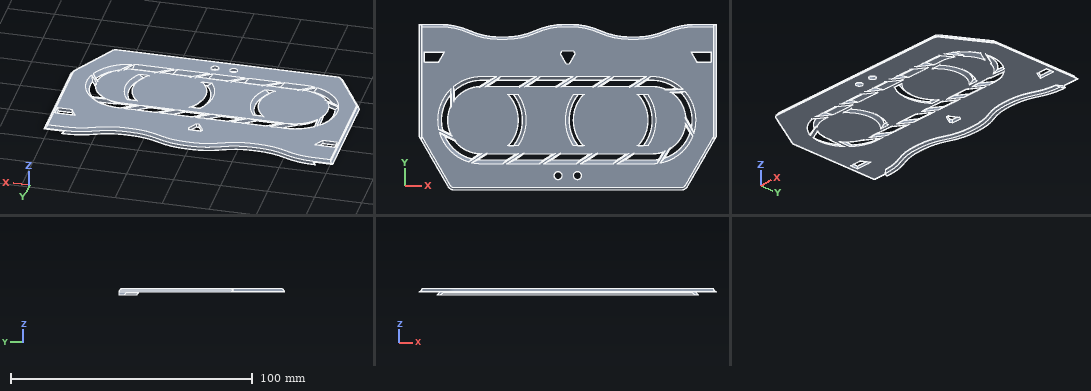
import cadquery as cq
import math

plate_width = 122.79
plate_length = 68.54
plate_thickness = 1.6
lip_height = 1.2
half_width = plate_width / 2
back_y = plate_length / 2
front_y = -plate_length / 2

corner_angle = math.radians(60)
corner_rise = 22.1
corner_run = corner_rise / math.tan(corner_angle)
corner_radius = 3.0

edge_chamfer = 1.2
chamfer_height = 1.0
rail_foot = 0.2
rail_height = 0.9
rail_inset = 1.0

wave_half_span = 54.0
wave_depth = 5.2
wave_flat = 2.6
trough_x = wave_half_span / 2

lip_depth = 3.0
lip_chamfer = 0.95
lip_end_flare = math.degrees(math.atan(0.7))

window_outer_x = 59.5
window_inner_x = 51.0
window_back_y = 22.9
window_front_y = 18.7
window_draft = 0.35
keyhole_points = [(2.4, 23.2), (3.0, 22.1), (0.6, 17.9)]

hole_diameter = 3.2
hole_spacing = 8.0
hole_y = front_y + 6.0

wall_slope = 45
wall_lean = plate_thickness * math.tan(math.radians(wall_slope))
ring_x = -0.4
ring_y = -5.35
ring_straight = 70.6
ring_inner_radius = 14.0
ring_outer_radius = 18.05
bar_count = 15
bar_pitch = 15.2
bar_start = 17.3
bar_angle = 33
bar_inward = 5.0
bar_outward = 8.0
bar_top_width = 0.9
bar_bottom_width = 1.8

slot_inner_radius = 15.5
slot_outer_radius = 18.7
slot_half_height = 10.55
curved_slots = [(-35.9, 1), (17.75, -1), (17.75, 1)]

overcut = 1.0


def draw_wave(sketch, crest_y):
    """Continue a line from the right end of the wave to its left end, as flats and tangent arcs."""
    half_flat = wave_flat / 2
    arc_run = trough_x / 2 - half_flat
    arc_drop = wave_depth / 2
    radius = (arc_run**2 + arc_drop**2) / (2 * arc_drop)
    half_angle = math.asin(arc_run / radius) / 2
    mid_run = half_flat + radius * math.sin(half_angle)
    mid_drop = radius * (1 - math.cos(half_angle))
    trough_y = crest_y - wave_depth
    slope_y = crest_y - arc_drop
    for crest_x in (wave_half_span, 0):
        low_x = crest_x - trough_x
        next_x = low_x - trough_x
        slope_x = (crest_x + low_x) / 2
        next_slope_x = (low_x + next_x) / 2
        sketch = (
            sketch.lineTo(crest_x - half_flat, crest_y)
            .threePointArc((crest_x - mid_run, crest_y - mid_drop), (slope_x, slope_y))
            .threePointArc((low_x + mid_run, trough_y + mid_drop), (low_x + half_flat, trough_y))
            .lineTo(low_x - half_flat, trough_y)
            .threePointArc((low_x - mid_run, trough_y + mid_drop), (next_slope_x, slope_y))
            .threePointArc((next_x + mid_run, crest_y - mid_drop), (next_x + half_flat, crest_y))
            .lineTo(next_x, crest_y)
        )
    return sketch


def make_plate():
    outline = (
        cq.Workplane("XY")
        .moveTo(-half_width + corner_run, front_y)
        .lineTo(half_width - corner_run, front_y)
        .lineTo(half_width, front_y + corner_rise)
        .lineTo(half_width, back_y)
        .lineTo(wave_half_span, back_y)
    )
    outline = draw_wave(outline, back_y)
    outline = outline.lineTo(-half_width, back_y).lineTo(-half_width, front_y + corner_rise)
    plate = outline.close().extrude(plate_thickness)
    front_corners = cq.selectors.BoxSelector(
        (-half_width, front_y - overcut, 0), (half_width, front_y + overcut, plate_thickness)
    )
    plate = plate.edges("|Z").edges(front_corners).fillet(corner_radius)
    sides = cq.selectors.ParallelDirSelector(cq.Vector(0, 1, 0))
    plate = plate.faces(">Z").edges(-sides).chamfer(chamfer_height, edge_chamfer)
    return plate.intersect(make_side_profile())


def make_side_profile():
    """Long prism whose sides have a short foot, slope inward, then rise almost upright."""
    rail_half_width = half_width - rail_inset
    top_half_width = half_width - edge_chamfer
    return (
        cq.Workplane("XZ")
        .polyline(
            [
                (-half_width, 0),
                (half_width, 0),
                (half_width, rail_foot),
                (rail_half_width, rail_height),
                (top_half_width, plate_thickness),
                (-top_half_width, plate_thickness),
                (-rail_half_width, rail_height),
                (-half_width, rail_foot),
            ]
        )
        .close()
        .extrude(plate_length, both=True)
    )


def make_lip():
    """Band that follows the wave, with a bevelled front and flared, slanted ends."""
    front_of_crest = back_y - lip_depth
    back_part = cq.Workplane("XY").workplane(offset=-lip_height).moveTo(wave_half_span, back_y)
    back_part = draw_wave(back_part, back_y)
    front_limit = back_y - 2 * (wave_depth + lip_depth)
    back_part = back_part.lineTo(-wave_half_span, front_limit).lineTo(wave_half_span, front_limit)
    back_part = back_part.close().extrude(lip_height)

    front_part = cq.Workplane("XY").workplane(offset=-lip_height).moveTo(wave_half_span, front_of_crest)
    front_part = draw_wave(front_part, front_of_crest)
    back_limit = back_y + lip_depth
    front_part = front_part.lineTo(-wave_half_span, back_limit).lineTo(wave_half_span, back_limit)
    front_part = front_part.close().extrude(lip_height)
    front_edges = cq.selectors.BoxSelector(
        (-wave_half_span, front_limit, -lip_height - overcut),
        (wave_half_span, front_of_crest + overcut, -lip_height / 2),
    )
    front_part = front_part.edges(front_edges).chamfer(lip_chamfer)

    end_depth = back_y - front_limit
    end_run = end_depth / math.tan(corner_angle)
    ends = (
        cq.Workplane("XY")
        .workplane(offset=-lip_height)
        .polyline(
            [
                (-wave_half_span - end_run, back_y + end_depth),
                (wave_half_span + end_run, back_y + end_depth),
                (wave_half_span - end_run, back_y - end_depth),
                (-wave_half_span + end_run, back_y - end_depth),
            ]
        )
        .close()
        .extrude(lip_height, taper=lip_end_flare)
    )
    return back_part.intersect(front_part).intersect(ends)


def window_outline(draft):
    run = (window_back_y - window_front_y) / math.tan(corner_angle)
    draft_run = draft / math.tan(corner_angle)
    return [
        (-window_outer_x + draft, window_back_y - draft),
        (-window_inner_x - draft_run, window_back_y - draft),
        (-window_inner_x - run, window_front_y),
        (-window_outer_x + draft, window_front_y),
    ]


def make_side_windows():
    left = (
        cq.Workplane("XY")
        .polyline(window_outline(window_draft))
        .close()
        .workplane(offset=plate_thickness)
        .polyline(window_outline(0))
        .close()
        .loft(ruled=True)
    )
    return left.union(left.mirror("YZ"))


def make_keyhole():
    mirrored = [(-x, y) for x, y in reversed(keyhole_points)]
    return cq.Workplane("XY").polyline(keyhole_points + mirrored).close().extrude(plate_thickness)


def make_holes():
    return (
        cq.Workplane("XY")
        .pushPoints([(-hole_spacing / 2, hole_y), (hole_spacing / 2, hole_y)])
        .circle(hole_diameter / 2)
        .extrude(plate_thickness)
    )


def tapered_oblong(top_radius):
    bottom_radius = top_radius - wall_lean
    return (
        cq.Workplane("XY")
        .center(ring_x, ring_y)
        .slot2D(ring_straight + 2 * bottom_radius, 2 * bottom_radius)
        .extrude(plate_thickness, taper=-wall_slope)
    )


def ring_position(distance):
    """Point and heading (degrees) at a clockwise distance along the inner ring edge."""
    half_turn = math.pi * ring_inner_radius
    lap_half = ring_straight + half_turn
    side = 1 if distance % (2 * lap_half) < lap_half else -1
    along = distance % lap_half
    swing = max(0, along - ring_straight) / ring_inner_radius
    x = min(along, ring_straight) - ring_straight / 2 + ring_inner_radius * math.sin(swing)
    y = ring_inner_radius * math.cos(swing)
    heading = -math.degrees(swing) + (0 if side == 1 else 180)
    return ring_x + side * x, ring_y + side * y, heading


def make_bar():
    """Bar along X, wider at its underside."""
    return (
        cq.Workplane("YZ")
        .workplane(offset=-bar_inward)
        .polyline(
            [
                (-bar_bottom_width / 2, 0),
                (bar_bottom_width / 2, 0),
                (bar_top_width / 2, plate_thickness),
                (-bar_top_width / 2, plate_thickness),
            ]
        )
        .close()
        .extrude(bar_inward + bar_outward)
    )


def make_ring_channel():
    channel = tapered_oblong(ring_outer_radius).cut(tapered_oblong(ring_inner_radius))
    bar = make_bar()
    for index in range(bar_count):
        x, y, heading = ring_position(bar_start + index * bar_pitch)
        placed = bar.rotate((0, 0, 0), (0, 0, 1), heading + bar_angle).translate((x, y, 0))
        channel = channel.cut(placed)
    return channel


def tapered_disc(center_x, top_radius):
    cone = cq.Solid.makeCone(top_radius - wall_lean, top_radius, plate_thickness)
    return cq.Workplane(cone).translate((center_x, ring_y, 0))


def make_curved_slot(center_x, side):
    ring = tapered_disc(center_x, slot_outer_radius).cut(tapered_disc(center_x, slot_inner_radius))
    window = (
        cq.Workplane("XY")
        .center(center_x + side * slot_outer_radius / 2, ring_y)
        .rect(slot_outer_radius, 2 * slot_half_height)
        .extrude(plate_thickness)
    )
    return ring.intersect(window)


result = make_plate().union(make_lip())
result = result.cut(make_side_windows()).cut(make_keyhole()).cut(make_holes())
result = result.cut(make_ring_channel())
for slot_center_x, slot_side in curved_slots:
    result = result.cut(make_curved_slot(slot_center_x, slot_side))